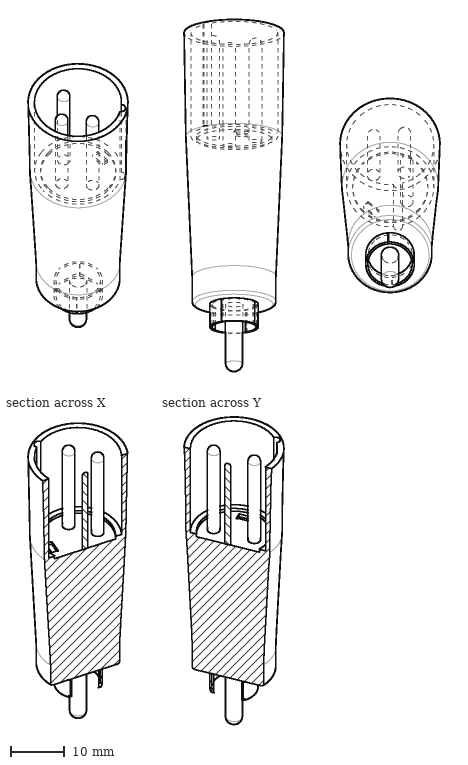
import cadquery as cq
import math

total_length = 65.5

rim_diameter = 18.7
waist_diameter = 18.0
base_diameter = 15.65
socket_length = 20.0
grip_length = 27.2
base_length = 5.4
base_fillet = 0.6

bore_radius = 8.1
floor_radius = 7.0
floor_depth = 0.65
key_groove_radius = 0.85
key_groove_angle = 39.0
window_width = 2.75
window_height = 1.3
window_offset = 5.45
window_depth = 0.65

contact_radius = 1.2
contact_offset = 4.05
contact_recess = 0.8
contact_directions = [(-1, 0), (1, 0), (0, -1)]

collar_radius = 4.5
collar_wall = 0.4
collar_length = 4.4
slit_width = 0.1
slit_count = 4
slit_start_angle = 45.0
plug_pin_diameter = 3.2

rim_radius = rim_diameter / 2
waist_radius = waist_diameter / 2
base_radius = base_diameter / 2
plug_pin_radius = plug_pin_diameter / 2

waist_level = total_length - socket_length
grip_bottom = waist_level - grip_length
base_bottom = grip_bottom - base_length
collar_bottom = base_bottom - collar_length
ledge_level = waist_level
floor_level = ledge_level - floor_depth


def disc(radius, bottom, top):
    """Cylinder on the Z axis between two levels."""
    return cq.Workplane("XY").workplane(offset=bottom).circle(radius).extrude(top - bottom)


def round_pin(radius, length):
    """Pin with its flat end at the origin and a hemispherical tip at +Z."""
    shoulder = length - radius
    arc_reach = radius * math.sqrt(0.5)
    return (
        cq.Workplane("XZ")
        .moveTo(0, 0)
        .lineTo(radius, 0)
        .lineTo(radius, shoulder)
        .threePointArc((arc_reach, shoulder + arc_reach), (0, length))
        .close()
        .revolve(360, (0, 0, 0), (0, 1, 0))
    )


def housing_shell():
    """Solid outer shape: tapered socket and grip sections over a straight base."""
    shell = (
        cq.Workplane("XZ")
        .moveTo(0, base_bottom)
        .lineTo(base_radius, base_bottom)
        .lineTo(base_radius, grip_bottom)
        .lineTo(waist_radius, waist_level)
        .lineTo(rim_radius, total_length)
        .lineTo(0, total_length)
        .close()
        .revolve(360, (0, 0, 0), (0, 1, 0))
    )
    return shell.faces("<Z").edges().fillet(base_fillet)


def socket_cutter():
    """Stepped bore, round key groove in its wall and rectangular recess in its floor."""
    angle = math.radians(key_groove_angle)
    groove = disc(key_groove_radius, ledge_level, total_length).translate(
        (bore_radius * math.cos(angle), bore_radius * math.sin(angle), 0)
    )
    window = (
        cq.Workplane("XY")
        .workplane(offset=floor_level - window_depth)
        .center(0, window_offset)
        .rect(window_width, window_height)
        .extrude(window_depth)
    )
    return (
        disc(bore_radius, ledge_level, total_length)
        .union(disc(floor_radius, floor_level, ledge_level))
        .union(groove)
        .union(window)
    )


def slotted_collar():
    """Thin ring below the base, split into equal segments by narrow slits."""
    collar = disc(collar_radius, collar_bottom, base_bottom).cut(
        disc(collar_radius - collar_wall, collar_bottom, base_bottom)
    )
    for index in range(slit_count):
        slit = (
            cq.Workplane("XY")
            .workplane(offset=collar_bottom)
            .center(collar_radius, 0)
            .rect(collar_radius, slit_width)
            .extrude(collar_length)
            .rotate((0, 0, 0), (0, 0, 1), slit_start_angle + index * 360 / slit_count)
        )
        collar = collar.cut(slit)
    return collar


def contact_pin(direction):
    """Socket contact standing on the floor."""
    length = total_length - contact_recess - floor_level
    x, y = direction
    return round_pin(contact_radius, length).translate((x * contact_offset, y * contact_offset, floor_level))


housing = housing_shell().cut(socket_cutter()).union(slotted_collar())
contacts = [contact_pin(direction) for direction in contact_directions]
plug_pin = round_pin(plug_pin_radius, base_bottom).mirror("XY").translate((0, 0, base_bottom))

result = cq.Compound.makeCompound(
    [housing.val(), *[contact.val() for contact in contacts], plug_pin.val()]
)